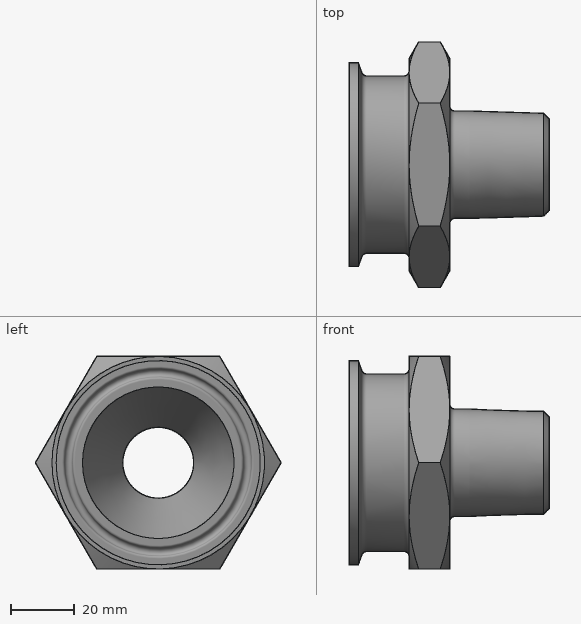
import cadquery as cq
import math

overall_length = 62.75
flange_rim_width = 2.9
hex_start = 18.8
hex_end = 31.6
taper_start = 37.8

flange_radius = 63.9 / 2
flange_back_angle = math.radians(20)
tube_radius = 55.7 / 2
fillet_radius = 1.55

hex_across_corners = 77.0
hex_chamfer_angle = math.radians(30)
hex_face_radius = 33.25

neck_radius = 33.7 / 2
taper_slope = 1 / 32
end_chamfer = 1.85

hole_radius = 22.1 / 2
cone_mouth_radius = 23.7
cone_half_angle = math.radians(22)
bore_blend_radius = 5.0

groove_center_radius = 28.0
groove_depth = 1.7
groove_floor_radius = 1.2
groove_edge_radius = 0.8
groove_wall_angle = math.radians(70)


def revolve_about_x(profile):
    """Turn a closed (X, radius) profile about the part axis."""
    return profile.close().revolve(360, (0, 0, 0), (1, 0, 0))


def make_ferrule():
    fillet_top = tube_radius + fillet_radius * (1 - math.sin(flange_back_angle))
    slope_end = flange_rim_width + (flange_radius - fillet_top) * math.tan(flange_back_angle)
    fillet_center_x = slope_end + fillet_radius * math.cos(flange_back_angle)
    fillet_center_r = tube_radius + fillet_radius
    middle_angle = (math.pi / 2 + flange_back_angle) / 2
    fillet_middle = (
        fillet_center_x - fillet_radius * math.cos(middle_angle),
        fillet_center_r - fillet_radius * math.sin(middle_angle),
    )
    profile = (
        cq.Workplane("XY")
        .lineTo(0, flange_radius)
        .lineTo(flange_rim_width, flange_radius)
        .lineTo(slope_end, fillet_top)
        .threePointArc(fillet_middle, (fillet_center_x, tube_radius))
        .lineTo(hex_start - fillet_radius, tube_radius)
        .radiusArc((hex_start, tube_radius + fillet_radius), -fillet_radius)
        .lineTo(hex_start, 0)
    )
    return revolve_about_x(profile)


def make_hexagon():
    """Hexagonal prism with its corners chamfered by a cone on both faces."""
    prism = (
        cq.Workplane("YZ", origin=(hex_start, 0, 0))
        .polygon(6, hex_across_corners)
        .extrude(hex_end - hex_start)
    )
    corner_radius = hex_across_corners / 2
    chamfer_length = (corner_radius - hex_face_radius) * math.tan(hex_chamfer_angle)
    envelope = (
        cq.Workplane("XY")
        .moveTo(hex_start, 0)
        .lineTo(hex_start, hex_face_radius)
        .lineTo(hex_start + chamfer_length, corner_radius)
        .lineTo(hex_end - chamfer_length, corner_radius)
        .lineTo(hex_end, hex_face_radius)
        .lineTo(hex_end, 0)
    )
    return prism.intersect(revolve_about_x(envelope))


def make_pipe_end():
    chamfer_start = overall_length - end_chamfer
    small_radius = neck_radius - (chamfer_start - taper_start) * taper_slope
    profile = (
        cq.Workplane("XY")
        .moveTo(hex_end, 0)
        .lineTo(hex_end, neck_radius + fillet_radius)
        .radiusArc((hex_end + fillet_radius, neck_radius), -fillet_radius)
        .lineTo(taper_start, neck_radius)
        .lineTo(chamfer_start, small_radius)
        .lineTo(overall_length, small_radius - end_chamfer)
        .lineTo(overall_length, 0)
    )
    return revolve_about_x(profile)


def make_bore():
    """Straight hole whose conical mouth blends into it with a tangent arc."""
    cone_end_radius = hole_radius + bore_blend_radius * (1 - math.cos(cone_half_angle))
    cone_depth = (cone_mouth_radius - cone_end_radius) / math.tan(cone_half_angle)
    hole_start = cone_depth + bore_blend_radius * math.sin(cone_half_angle)
    profile = (
        cq.Workplane("XY")
        .lineTo(0, cone_mouth_radius)
        .lineTo(cone_depth, cone_end_radius)
        .radiusArc((hole_start, hole_radius), -bore_blend_radius)
        .lineTo(overall_length, hole_radius)
        .lineTo(overall_length, 0)
    )
    return revolve_about_x(profile)


def make_groove():
    """Ring with a round floor, steep straight walls and mouth edges rolled over into the face."""
    wall_sine = math.sin(groove_wall_angle)
    wall_versine = 1 - math.cos(groove_wall_angle)
    wall_top = groove_edge_radius * wall_versine
    wall_bottom = groove_depth - groove_floor_radius * wall_versine
    bottom_offset = groove_floor_radius * wall_sine
    top_offset = bottom_offset + (wall_bottom - wall_top) / math.tan(groove_wall_angle)
    mouth_offset = top_offset + groove_edge_radius * wall_sine
    profile = (
        cq.Workplane("XY")
        .moveTo(0, groove_center_radius - mouth_offset)
        .radiusArc((wall_top, groove_center_radius - top_offset), groove_edge_radius)
        .lineTo(wall_bottom, groove_center_radius - bottom_offset)
        .threePointArc(
            (groove_depth, groove_center_radius),
            (wall_bottom, groove_center_radius + bottom_offset),
        )
        .lineTo(wall_top, groove_center_radius + top_offset)
        .radiusArc((0, groove_center_radius + mouth_offset), groove_edge_radius)
    )
    return revolve_about_x(profile)


body = make_ferrule().union(make_hexagon()).union(make_pipe_end())
result = body.cut(make_bore()).cut(make_groove())